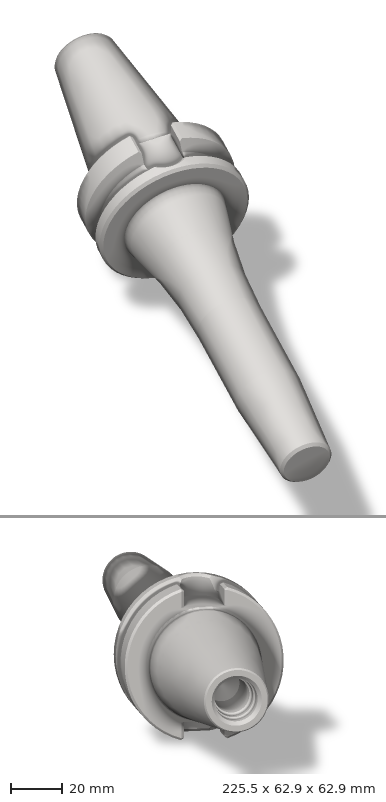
import cadquery as cq
import math

total_length = 225.5
gauge_x = 65.4
flange_front = 67.5
flange_back = 92.5

gauge_diameter = 44.5
gauge_radius = gauge_diameter / 2
taper_slope = 7 / 48
taper_end = 64.2
taper_chamfer = 1.0
taper_end_radius = gauge_radius - (gauge_x - taper_end) * taper_slope
small_end_radius = gauge_radius - gauge_x * taper_slope
root_fillet = 1.0

flange_diameter = 62.9
flange_radius = flange_diameter / 2
front_edge = 1.0
back_edge = 1.1
groove_diameter = 53.0
groove_flank_angle = 30
groove_radius = groove_diameter / 2
groove_center = 82.0
groove_floor_width = 4.3
flank_length = (flange_radius - groove_radius) * math.tan(math.radians(groove_flank_angle))
groove_floor_start = groove_center - groove_floor_width / 2
groove_floor_end = groove_center + groove_floor_width / 2
groove_start = groove_floor_start - flank_length
groove_end = groove_floor_end + flank_length

neck_root_radius = 21.5
neck_radius = 20.5
flare_start = 95.3
flare_end = 147.5
shank_radius = 13.5
nose_start = 186.9
nose_radius = 10.8
nose_chamfer = 1.1

slot_width = 16.0
slot_half_width = slot_width / 2
slot_floor = 22.8
slot_end = 88.5
slot_chamfer = 1.1

mouth_radius = 10.0
mouth_depth = 1.8
counterbore_radius = 8.5
counterbore_depth = 5.6
middle_radius = 8.0
middle_depth = 9.7
drill_radius = 7.0
drill_depth = 31.5
drill_tip_angle = 118
step_chamfer = middle_radius - drill_radius


def make_body():
    """Revolve the outer profile about the X axis."""
    flare_drop = neck_radius - shank_radius
    flare_length = flare_end - flare_start
    flare_arc_radius = (flare_length**2 + flare_drop**2) / (2 * flare_drop)
    half_angle = math.asin(flare_length / flare_arc_radius) / 2
    flare_middle = (
        flare_end - flare_arc_radius * math.sin(half_angle),
        shank_radius + flare_arc_radius * (1 - math.cos(half_angle)),
    )
    fillet_offset = root_fillet * (1 - math.sqrt(0.5))
    profile = (
        cq.Workplane("XY")
        .moveTo(0, 0)
        .lineTo(0, small_end_radius - taper_chamfer / 2)
        .lineTo(taper_chamfer, small_end_radius + taper_chamfer * taper_slope)
        .lineTo(taper_end, taper_end_radius)
        .lineTo(flange_front - root_fillet, taper_end_radius)
        .threePointArc(
            (flange_front - fillet_offset, taper_end_radius + fillet_offset),
            (flange_front, taper_end_radius + root_fillet),
        )
        .lineTo(flange_front, flange_radius - front_edge)
        .lineTo(flange_front + front_edge, flange_radius)
        .lineTo(flange_back - back_edge, flange_radius)
        .lineTo(flange_back, flange_radius - back_edge)
        .lineTo(flange_back, neck_root_radius)
        .lineTo(flare_start, neck_radius)
        .threePointArc(flare_middle, (flare_end, shank_radius))
        .lineTo(nose_start, shank_radius)
        .lineTo(total_length - nose_chamfer, nose_radius)
        .lineTo(total_length, nose_radius - nose_chamfer)
        .lineTo(total_length, 0)
        .close()
    )
    return profile.revolve(360, (0, 0, 0), (1, 0, 0))


def make_slot():
    """Round-ended upper drive slot, open towards the taper."""
    arc_center = slot_end - slot_half_width
    return (
        cq.Workplane("XY", origin=(0, 0, slot_floor))
        .moveTo(flange_front - root_fillet, -slot_half_width)
        .lineTo(arc_center, -slot_half_width)
        .threePointArc((slot_end, 0), (arc_center, slot_half_width))
        .lineTo(flange_front - root_fillet, slot_half_width)
        .close()
        .extrude(flange_radius + 2.3 - slot_floor)
    )


def bevel_slot_edges(body):
    """Bevel the outer rims and the front upright corners of both slots."""
    clearance = 0.2
    edges = []
    for edge in body.edges().vals():
        box = edge.BoundingBox()
        beside_slot = (
            box.xmin > flange_front - clearance
            and box.xmax < slot_end + clearance
            and max(-box.ymin, box.ymax) < slot_half_width + clearance
        )
        above_floor = abs(box.center.z) > slot_floor + clearance
        at_arc_start = box.xlen < clearance and box.xmin > groove_start
        if beside_slot and above_floor and not at_arc_start:
            edges.append(edge)
    return body.newObject(edges).chamfer(slot_chamfer)


def make_groove():
    """V-shaped gripper groove around the flange."""
    profile = cq.Workplane("XY").polyline([
        (groove_start, flange_radius),
        (groove_floor_start, groove_radius),
        (groove_floor_end, groove_radius),
        (groove_end, flange_radius),
    ]).close()
    return profile.revolve(360, (0, 0, 0), (1, 0, 0))


def make_hole():
    """Stepped blind hole with a conical bottom."""
    tip_length = drill_radius / math.tan(math.radians(drill_tip_angle / 2))
    step_depth = counterbore_depth + counterbore_radius - middle_radius
    profile = cq.Workplane("XY").polyline([
        (0, 0),
        (0, mouth_radius),
        (mouth_depth, counterbore_radius),
        (counterbore_depth, counterbore_radius),
        (step_depth, middle_radius),
        (middle_depth, middle_radius),
        (middle_depth + step_chamfer, drill_radius),
        (drill_depth, drill_radius),
        (drill_depth + tip_length, 0),
    ]).close()
    return profile.revolve(360, (0, 0, 0), (1, 0, 0))


upper_slot = make_slot()
lower_slot = upper_slot.rotate((0, 0, 0), (1, 0, 0), 180)
slotted_body = make_body().cut(upper_slot).cut(lower_slot)
result = bevel_slot_edges(slotted_body).cut(make_groove()).cut(make_hole())